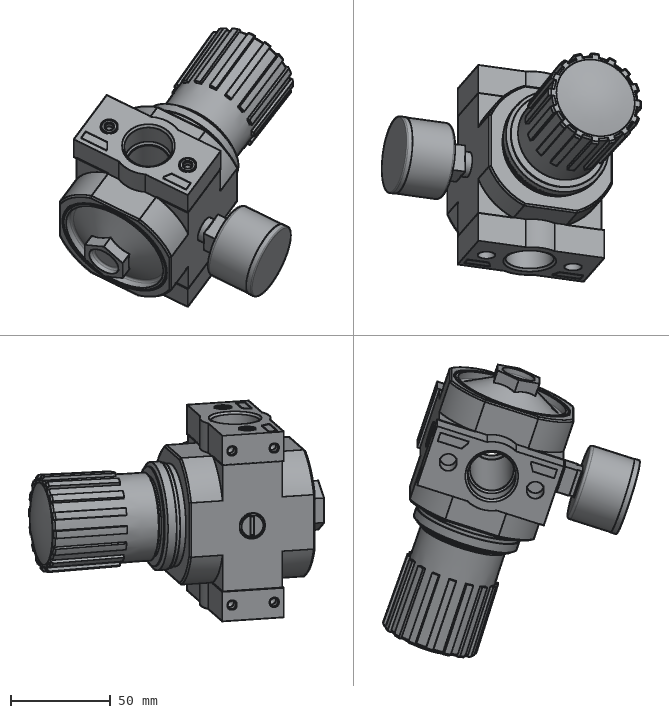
import cadquery as cq
import math


housing_half = 32.8
corner_radius = 35.64
end_chamfer = 0.9
block_half_y = 15.5
port_bore = 22.0
cap_recess_dia = 61.4
cap_recess_depth = 8.9

plate_top = 48.0
plate_left = -34.1
plate_half_y = 16.0
bulge_radius = 17.8
port_dia = 24.2
port_depth = 13.3
port_mouth_dia = 26.5
plate_hole_dia = 4.1
plate_hole_mouth_dia = 5.0
plate_hole_depth = 4.5
plate_hole_y = 11.0
plate_hole_z = 39.9
label_inset = 2.7
label_depth = 0.3
label_front_y = -13.3
label_rear_y = -8.7
label_slant_y = -12.3
label_inner_x = 16.6
label_rear_inner_x = 18.8

screw_x = 23.0
screw_dia = 8.7
screw_length = 11.9
screw_face_dia = 7.5
socket_dia = 4.1
socket_mouth_dia = 5.0
socket_depth = 3.0

plug_dia = 13.2
plug_face_dia = 11.3
plug_length = 6.0
plug_slot_width = 1.8
plug_slot_length = 9.8
plug_slot_depth = 0.9

cap_well_dia = 56.9
cap_rim_chamfer = 0.9
cap_well_fillet = 1.0
cone_mouth_radius = 19.4
cap_cone_slope = 0.58
hex_across_flats = 22.1
hex_end = -43.3
hex_hole_dia = 17.0
hex_hole_floor_dia = 14.8
hex_hole_depth = 3.7

collar_base_radius = 26.0
collar_base_end = 35.9
collar_step_radius = 26.7
collar_step_end = 37.8
collar_ring_radius = 27.3
collar_ring_end = 42.4
collar_face_radius = 25.2
collar_taper_end = 43.4
collar_face = 44.0
neck_foot_radius = 20.5
neck_radius = 19.7
neck_foot_end = 44.8
collar_end = 46.0

knob_rib_start = 62.7
knob_shoulder = 100.8
knob_end = 104.9
knob_base_dia = 44.5
knob_top_dia = 45.6
rib_count = 16
rib_width = 3.7
rib_start_radius = 24.0
rib_end_radius = 24.68
dome_base_radius = 20.7
knob_edge_chamfer = 1.0

stem_dia = 12.9
block_start = 36.6
gauge_start = 45.8
gauge_end = 72.0
gauge_dia = 38.7
bezel_start = 68.9
bezel_dia = 39.0
case_fillet = 1.5
bezel_fillet = 0.6
block_height = 14.2
block_width = 13.8
notch_start = 43.1
notch_end = 45.2
notch_floor_height = 11.4


def turned(points):
    """Solid turned about the Y axis from (radius, y) points."""
    return cq.Workplane("XY").polyline(points).close().revolve(360, (0, 0, 0), (0, 1, 0))


def drill(dia, mouth_dia, depth):
    """Cutter along -Z from the origin: chamfered mouth, straight wall and 90 degree conical end."""
    r = dia / 2
    mouth_r = mouth_dia / 2
    points = [(0, 0), (mouth_r, 0), (r, r - mouth_r), (r, -depth), (0, -depth - r)]
    return cq.Workplane("XZ").polyline(points).close().revolve(360, (0, 0, 0), (0, 1, 0))


def chamfered_pin(dia, face_dia, length):
    """Cylinder along -Z from the origin with a 45 degree chamfer around its front face."""
    return cq.Workplane("XY").circle(dia / 2).extrude(-length).faces(">Z").chamfer((dia - face_dia) / 2)


def to_left_face(shape):
    """Turns a shape whose front faces +Z so that it faces -X, on the left face of the housing."""
    return shape.rotate((0, 0, 0), (0, 1, 0), -90).translate((-housing_half, 0, 0))


def make_housing():
    size = 2 * housing_half
    ends = cq.Workplane("XY").box(size, size, size)
    rounding = cq.Workplane("XZ").circle(corner_radius).extrude(housing_half, both=True)
    ends = ends.intersect(rounding).faces("<Y or >Y").chamfer(end_chamfer)
    housing = ends.union(cq.Workplane("XY").box(size, 2 * block_half_y, size))
    port = cq.Workplane("XY").circle(port_bore / 2).extrude(housing_half, both=True)
    recess = (
        cq.Workplane("XZ", origin=(0, -housing_half, 0))
        .circle(cap_recess_dia / 2)
        .extrude(-cap_recess_depth)
    )
    plug_hole = to_left_face(cq.Workplane("XY").circle(plug_dia / 2).extrude(-plug_length))
    return housing.cut(port).cut(recess).cut(plug_hole)


def label_recess(side, outer_x):
    """Shallow label pocket on the side (+1 or -1) of the port, with a slanted corner towards it."""
    points = [
        (side * outer_x, label_front_y),
        (side * label_inner_x, label_front_y),
        (side * label_inner_x, label_slant_y),
        (side * label_rear_inner_x, label_rear_y),
        (side * outer_x, label_rear_y),
    ]
    return cq.Workplane("XY", origin=(0, 0, plate_top)).polyline(points).close().extrude(-label_depth)


def make_top_plate():
    thickness = plate_top - housing_half
    base = cq.Workplane("XY", origin=(0, 0, housing_half))
    plate = cq.Workplane("XY").box(
        housing_half - plate_left, 2 * plate_half_y, thickness, centered=(False, True, False)
    ).translate((plate_left, 0, housing_half))
    plate = plate.union(base.circle(bulge_radius).extrude(thickness))
    mouth_depth = (port_mouth_dia - port_dia) / 2
    shoulder_depth = (port_dia - port_bore) / 2
    port_profile = [
        (0, plate_top),
        (port_mouth_dia / 2, plate_top),
        (port_dia / 2, plate_top - mouth_depth),
        (port_dia / 2, plate_top - port_depth),
        (port_bore / 2, plate_top - port_depth - shoulder_depth),
        (port_bore / 2, housing_half),
        (0, housing_half),
    ]
    plate = plate.cut(
        cq.Workplane("XZ").polyline(port_profile).close().revolve(360, (0, 0, 0), (0, 1, 0))
    )
    for side in (-1, 1):
        hole = cq.Workplane("XY").circle(screw_dia / 2).extrude(-screw_length)
        plate = plate.cut(hole.translate((side * screw_x, 0, plate_top)))
        side_hole = drill(plate_hole_dia, plate_hole_mouth_dia, plate_hole_depth)
        side_hole = side_hole.rotate((0, 0, 0), (0, 1, 0), -90)
        plate = plate.cut(side_hole.translate((plate_left, side * plate_hole_y, plate_hole_z)))
    plate = plate.cut(label_recess(-1, -plate_left - label_inset))
    return plate.cut(label_recess(1, housing_half - label_inset))


def make_screw(x):
    screw = chamfered_pin(screw_dia, screw_face_dia, screw_length)
    screw = screw.cut(drill(socket_dia, socket_mouth_dia, socket_depth))
    return screw.translate((x, 0, plate_top))


def make_plug():
    plug = chamfered_pin(plug_dia, plug_face_dia, plug_length)
    slot = cq.Workplane("XY").rect(plug_slot_length, plug_slot_width).extrude(-plug_slot_depth)
    return to_left_face(plug.cut(slot))


def make_cap():
    recess_radius = cap_recess_dia / 2
    well_radius = cap_well_dia / 2
    cone_end_radius = hex_across_flats / 2
    recess_floor = cap_recess_depth - housing_half
    cone_base = -housing_half + cap_cone_slope * (well_radius - cone_mouth_radius)
    cone_end = -housing_half + cap_cone_slope * (cone_end_radius - cone_mouth_radius)
    cap = turned([
        (0, recess_floor),
        (recess_radius, recess_floor),
        (recess_radius, -housing_half + cap_rim_chamfer),
        (recess_radius - cap_rim_chamfer, -housing_half),
        (well_radius, -housing_half),
        (well_radius, cone_base),
        (cone_end_radius, cone_end),
        (0, cone_end),
    ])
    well_corner = cq.selectors.NearestToPointSelector((0, cone_base, 0))
    cap = cap.edges(well_corner).fillet(cap_well_fillet)
    hexagon = (
        cq.Workplane("XZ", origin=(0, recess_floor, 0))
        .polygon(6, hex_across_flats, circumscribed=True)
        .extrude(recess_floor - hex_end)
    )
    hole = (
        cq.Workplane("XZ", origin=(0, hex_end, 0))
        .circle(hex_hole_dia / 2)
        .extrude(-hex_hole_depth)
        .faces(">Y")
        .edges()
        .fillet((hex_hole_dia - hex_hole_floor_dia) / 2)
    )
    return cap.union(hexagon).cut(hole)


def make_collar():
    return turned([
        (0, housing_half),
        (collar_base_radius, housing_half),
        (collar_base_radius, collar_base_end),
        (collar_step_radius, collar_base_end),
        (collar_step_radius, collar_step_end),
        (collar_ring_radius, collar_step_end),
        (collar_ring_radius, collar_ring_end),
        (collar_face_radius, collar_taper_end),
        (collar_face_radius, collar_face),
        (neck_foot_radius, collar_face),
        (neck_radius, neck_foot_end),
        (neck_radius, collar_end),
        (0, collar_end),
    ])


def make_knob():
    dome_rise = knob_end - knob_shoulder
    dome_radius = (dome_base_radius**2 + dome_rise**2) / (2 * dome_rise)
    mid_x = dome_base_radius / 2
    mid_y = knob_end - dome_radius + math.sqrt(dome_radius**2 - mid_x**2)
    core = (
        cq.Workplane("XY")
        .moveTo(0, collar_end)
        .lineTo(knob_base_dia / 2, collar_end)
        .lineTo(knob_top_dia / 2, knob_shoulder - knob_edge_chamfer)
        .lineTo(knob_top_dia / 2 - knob_edge_chamfer, knob_shoulder)
        .lineTo(dome_base_radius, knob_shoulder)
        .threePointArc((mid_x, mid_y), (0, knob_end))
        .close()
        .revolve(360, (0, 0, 0), (0, 1, 0))
    )
    rib_envelope = turned([
        (0, knob_rib_start),
        (rib_start_radius, knob_rib_start),
        (rib_end_radius, knob_shoulder - knob_edge_chamfer),
        (rib_end_radius - knob_edge_chamfer, knob_shoulder),
        (0, knob_shoulder),
    ])
    rib_length = knob_shoulder - knob_rib_start
    knob = core
    for i in range(rib_count):
        rib = (
            cq.Workplane("XY")
            .box(rib_width, rib_length, rib_end_radius, centered=(True, False, False))
            .translate((0, knob_rib_start, 0))
            .intersect(rib_envelope)
            .rotate((0, 0, 0), (0, 1, 0), i * 360 / rib_count)
        )
        knob = knob.union(rib)
    return knob


def make_gauge():
    def disc(dia, start, end):
        return cq.Workplane("YZ", origin=(start, 0, 0)).circle(dia / 2).extrude(end - start)

    stem = disc(stem_dia, housing_half, block_start)
    block = cq.Workplane("XY").box(
        gauge_start - block_start, block_width, block_height, centered=(False, True, True)
    ).translate((block_start, 0, 0))
    for side in (-1, 1):
        notch_depth = (block_height - notch_floor_height) / 2
        notch = cq.Workplane("XY").box(
            notch_end - notch_start, block_width, notch_depth, centered=(False, True, True)
        )
        block = block.cut(notch.translate((notch_start, 0, side * (block_height - notch_depth) / 2)))
    case = disc(gauge_dia, gauge_start, bezel_start).faces("<X").edges().fillet(case_fillet)
    bezel = disc(bezel_dia, bezel_start, gauge_end).faces(">X").edges().fillet(bezel_fillet)
    return stem.union(block).union(case).union(bezel)


housing = make_housing()
top_plate = make_top_plate()
bottom_plate = top_plate.mirror("XY")
screws = [make_screw(side * screw_x) for side in (-1, 1)]
plug = make_plug()
cap = make_cap()
collar = make_collar()
knob = make_knob()
gauge = make_gauge()

result = cq.Compound.makeCompound([
    housing.val(),
    top_plate.val(),
    bottom_plate.val(),
    *[screw.val() for screw in screws],
    plug.val(),
    cap.val(),
    collar.val(),
    knob.val(),
    gauge.val(),
])